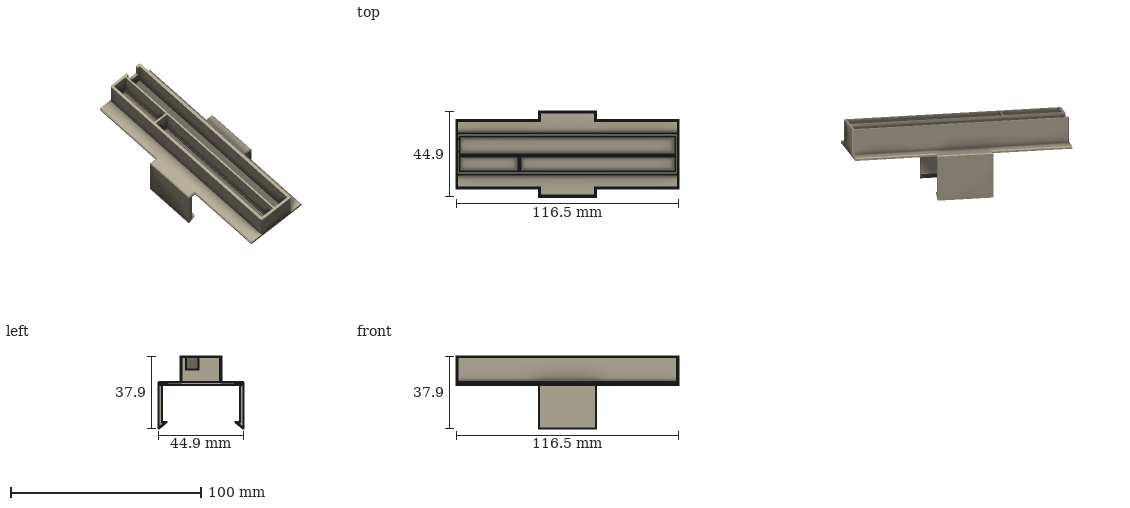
import cadquery as cq

length = 116.5
strip_width = 36.1
overall_width = 44.9
plate_thickness = 1.5
tab_length = 30.0
edge_chamfer = 0.6

tray_width = 21.4
tray_height = 13.4
wall = 1.5
divider = 0.9
cross_wall = 1.0
front_pocket_width = 8.2
divider_foot_width = 0.2
divider_foot_height = 1.2
short_pocket_length = 31.0
notch_width = 6.6
notch_depth = 6.6
notch_offset = 2.8

overall_height = 37.9
clip_height = overall_height - tray_height - plate_thickness
clip_thickness = 2.0
hook_reach = 4.3
hook_height = 3.5

tray_base = plate_thickness
tray_top = tray_base + tray_height
inner_length = length - 2 * wall
inner_x = -inner_length / 2
front_pocket_y = -tray_width / 2 + wall
rear_pocket_y = front_pocket_y + front_pocket_width + divider
rear_pocket_width = tray_width / 2 - wall - rear_pocket_y


def corner_box(x, y, z, x_size, y_size, z_size):
    """Box given by its lowest corner and its sizes."""
    return cq.Workplane("XY").box(x_size, y_size, z_size, centered=False).translate((x, y, z))


def make_plate():
    """Cross-shaped plate with every top edge chamfered except the two short ends."""
    strip = cq.Workplane("XY").rect(length, strip_width).extrude(plate_thickness)
    tabs = cq.Workplane("XY").rect(tab_length, overall_width).extrude(plate_thickness)
    plate = strip.union(tabs)
    end_margin = 1.2
    end_limit = length / 2 - end_margin
    side_edges = cq.selectors.BoxSelector(
        (-end_limit, -overall_width, 0), (end_limit, overall_width, 2 * plate_thickness)
    )
    return plate.faces(">Z").edges(side_edges).chamfer(edge_chamfer)


def make_tray():
    """Open tray with three pockets down to the plate and a notch in the -X wall;
    the lengthwise divider has a narrow foot."""
    tray = cq.Workplane("XY").workplane(offset=tray_base).rect(length, tray_width).extrude(tray_height)
    tray = tray.edges("|Z").chamfer(edge_chamfer)

    long_pocket_x = inner_x + short_pocket_length + cross_wall
    long_pocket_length = inner_length - short_pocket_length - cross_wall
    pockets = [
        (inner_x, rear_pocket_y, inner_length, rear_pocket_width),
        (inner_x, front_pocket_y, short_pocket_length, front_pocket_width),
        (long_pocket_x, front_pocket_y, long_pocket_length, front_pocket_width),
    ]
    for x, y, x_size, y_size in pockets:
        tray = tray.cut(corner_box(x, y, tray_base, x_size, y_size, tray_height))

    notch_y = tray_width / 2 - notch_offset - notch_width
    notch = corner_box(-length / 2, notch_y, tray_top - notch_depth, wall, notch_width, notch_depth)
    tray = tray.cut(notch)

    foot_y = front_pocket_y + front_pocket_width - divider_foot_width
    foot = corner_box(inner_x, foot_y, tray_base, inner_length, divider_foot_width, divider_foot_height)
    return tray.union(foot)


def make_clip(side):
    """Hooked clip under one tab; side is -1 for the -Y clip and +1 for the +Y clip."""
    outer = overall_width / 2
    profile = [
        (side * outer, 0),
        (side * (outer - clip_thickness), 0),
        (side * (outer - clip_thickness), -clip_height + hook_height),
        (side * (outer - hook_reach), -clip_height + hook_height),
        (side * outer, -clip_height),
    ]
    return cq.Workplane("YZ").polyline(profile).close().extrude(tab_length / 2, both=True)


plate = make_plate()
tray = make_tray()
clips = [make_clip(side) for side in (-1, 1)]

result = cq.Compound.makeCompound([plate.val(), tray.val(), *[clip.val() for clip in clips]])